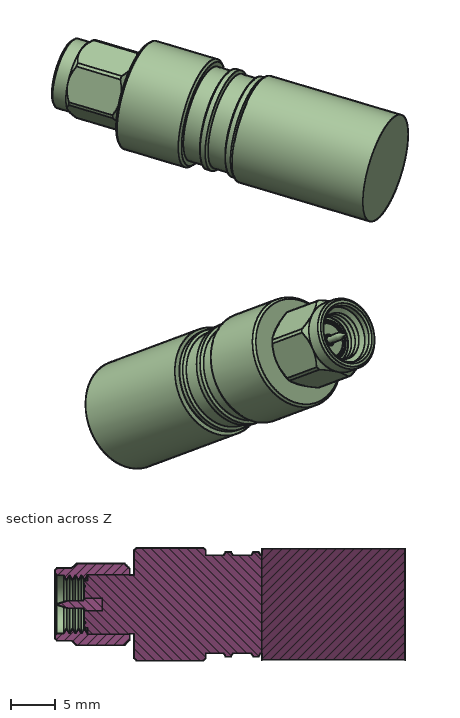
import cadquery as cq
import math


NUT_LENGTH = 8.35
NUT_FLAT_RADIUS = 4.05
NUT_CORNER_RADIUS = 4.58
NUT_COLLAR_END = 1.85
NUT_FRONT_BEVEL_END = 2.42
NUT_REAR_BEVEL = 0.6
NUT_FRONT_CHAMFER = 0.25
MOUTH_RADIUS = 3.5

THREAD_ROOT_RADIUS = 3.25
THREAD_START = 0.98
THREAD_PITCH = 0.65
THREAD_RINGS = 4
THREAD_DEPTH = THREAD_PITCH / 2 * math.sqrt(3)
THREAD_END = THREAD_START + THREAD_RINGS * THREAD_PITCH

NOSE_RADIUS = 6.6 / 2
LIP_RADIUS = 2.65
LIP_LENGTH = 0.43
LIP_START = THREAD_END - LIP_LENGTH
COLLAR_RADIUS = 12.65 / 2
COLLAR_START = 8.85
COLLAR_END = 16.85
COLLAR_CHAMFER = 0.27
NECK_RADIUS = 5.5
RIDGE_RADIUS = 5.85
RIDGE_WIDTH = 1.0
RIDGE_BEVEL = 0.2
RIDGE_STARTS = (18.85, 21.95)
SOCKET_RADIUS = 2.3
SOCKET_DEPTH = 0.08
SOCKET_FLOOR = LIP_START + SOCKET_DEPTH
GROOVE_OUTER_RADIUS = 2.2
GROOVE_INNER_RADIUS = 1.9
GROOVE_DEPTH = (GROOVE_OUTER_RADIUS - GROOVE_INNER_RADIUS) / 2

SLEEVE_RADIUS = 6.2
SLEEVE_START = 23.1
SLEEVE_END = 39.1

PIN_RADIUS = 0.43
PIN_BASE_RADIUS = 0.65
PIN_BASE_CHAMFER = 0.1
PIN_TIP_RADIUS = 0.08
PIN_TIP = 0.27
PIN_CONE_LENGTH = 1.15
PIN_SEAT_DEPTH = 1.95


def turned(profile):
    """Revolve a closed (x, radius) profile about the X axis."""
    return cq.Workplane("XY").polyline(profile).close().revolve(360, (0, 0, 0), (1, 0, 0))


def cylinder(radius, start, end):
    return cq.Workplane("YZ").workplane(offset=start).circle(radius).extrude(end - start)


def make_nut():
    blank = turned([
        (0, 0),
        (0, NUT_FLAT_RADIUS - NUT_FRONT_CHAMFER),
        (NUT_FRONT_CHAMFER, NUT_FLAT_RADIUS),
        (NUT_COLLAR_END, NUT_FLAT_RADIUS),
        (NUT_FRONT_BEVEL_END, NUT_CORNER_RADIUS),
        (NUT_LENGTH - NUT_REAR_BEVEL, NUT_CORNER_RADIUS),
        (NUT_LENGTH, NUT_CORNER_RADIUS - NUT_REAR_BEVEL),
        (NUT_LENGTH, 0),
    ])
    hexagon = cq.Workplane("YZ").polygon(6, 2 * NUT_FLAT_RADIUS, circumscribed=True).extrude(NUT_LENGTH)
    hexagon = hexagon.rotate((0, 0, 0), (1, 0, 0), 30)
    countersink = MOUTH_RADIUS - THREAD_ROOT_RADIUS
    bore = [(0, 0), (0, MOUTH_RADIUS), (countersink, THREAD_ROOT_RADIUS), (THREAD_START, THREAD_ROOT_RADIUS)]
    for ring in range(THREAD_RINGS):
        ring_start = THREAD_START + ring * THREAD_PITCH
        bore.append((ring_start + THREAD_PITCH / 2, THREAD_ROOT_RADIUS - THREAD_DEPTH))
        bore.append((ring_start + THREAD_PITCH, THREAD_ROOT_RADIUS))
    bore += [(THREAD_END, NOSE_RADIUS), (NUT_LENGTH, NOSE_RADIUS), (NUT_LENGTH, 0)]
    return blank.intersect(hexagon).cut(turned(bore))


def make_pin():
    cone_end = PIN_TIP + PIN_CONE_LENGTH
    base_chamfer_end = SOCKET_FLOOR
    base_start = base_chamfer_end - PIN_BASE_CHAMFER
    base_end = SOCKET_FLOOR + PIN_SEAT_DEPTH
    return turned([
        (PIN_TIP, 0),
        (PIN_TIP, PIN_TIP_RADIUS),
        (cone_end, PIN_RADIUS),
        (base_start, PIN_RADIUS),
        (base_start, PIN_BASE_RADIUS - PIN_BASE_CHAMFER),
        (base_chamfer_end, PIN_BASE_RADIUS),
        (base_end, PIN_BASE_RADIUS),
        (base_end, 0),
    ])


def make_ridge(start):
    end = start + RIDGE_WIDTH
    return turned([
        (start, 0),
        (start, NECK_RADIUS),
        (start + RIDGE_BEVEL, RIDGE_RADIUS),
        (end - RIDGE_BEVEL, RIDGE_RADIUS),
        (end, NECK_RADIUS),
        (end, 0),
    ])


def make_body(pin):
    nose = cylinder(NOSE_RADIUS, THREAD_END, COLLAR_START)
    collar = cylinder(COLLAR_RADIUS, COLLAR_START, COLLAR_END).edges("%CIRCLE").chamfer(COLLAR_CHAMFER)
    neck = cylinder(NECK_RADIUS, COLLAR_END, SLEEVE_START)
    lip = cylinder(LIP_RADIUS, LIP_START, THREAD_END)
    body = lip.union(nose).union(collar).union(neck)
    for start in RIDGE_STARTS:
        body = body.union(make_ridge(start))
    socket = turned([
        (LIP_START, 0),
        (LIP_START, SOCKET_RADIUS),
        (SOCKET_FLOOR, SOCKET_RADIUS),
        (SOCKET_FLOOR, GROOVE_OUTER_RADIUS),
        (SOCKET_FLOOR + GROOVE_DEPTH, (GROOVE_OUTER_RADIUS + GROOVE_INNER_RADIUS) / 2),
        (SOCKET_FLOOR, GROOVE_INNER_RADIUS),
        (SOCKET_FLOOR, 0),
    ])
    return body.cut(socket).cut(pin)


def make_sleeve():
    return cylinder(SLEEVE_RADIUS, SLEEVE_START, SLEEVE_END)


nut = make_nut()
pin = make_pin()
body = make_body(pin)
sleeve = make_sleeve()

result = cq.Compound.makeCompound([nut.val(), body.val(), sleeve.val(), pin.val()])